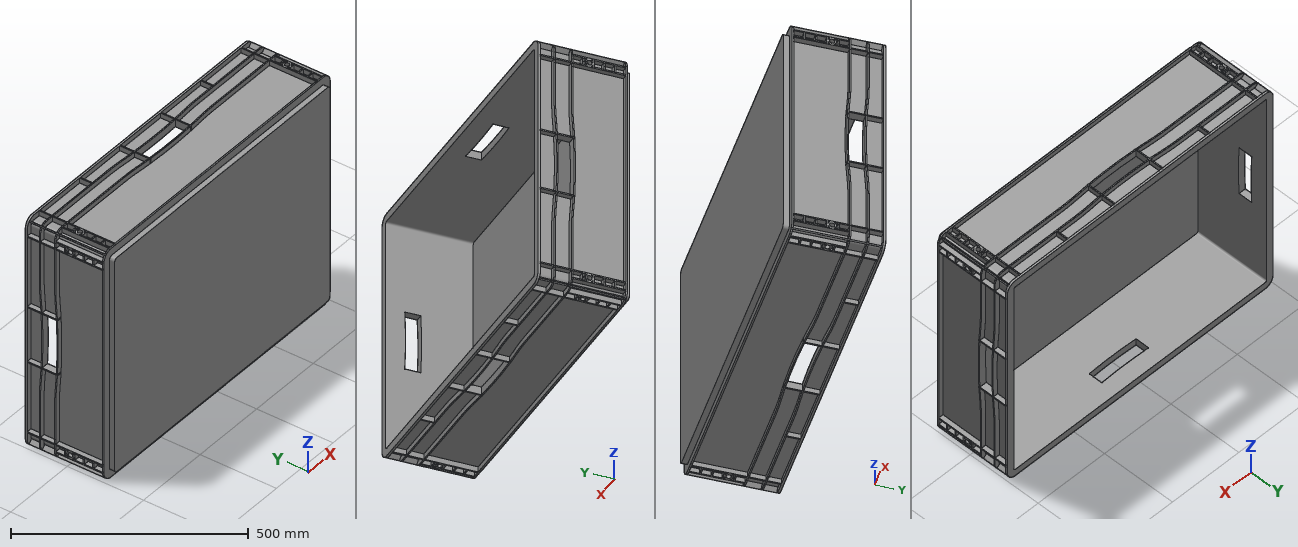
import cadquery as cq
import math


LENGTH = 800.0
WIDTH = 600.0
HEIGHT = 220.0
RIM_RADIUS = 24.0

FOOT_INSET = 19.0
FOOT_HEIGHT = 14.0
FOOT_RADIUS = 9.0
FLANGE_THICKNESS = 4.0
RIM_THICKNESS = 6.0
FLOOR_Y = FOOT_HEIGHT + FLANGE_THICKNESS
RIM_Y = HEIGHT - RIM_THICKNESS

WALL_RECESS = 13.0
WALL_INNER = 19.0
RIB_THICKNESS = 3.0
WALL_CORNER_RADIUS = RIM_RADIUS - WALL_RECESS
CAVITY_RADIUS = RIM_RADIUS - WALL_INNER
OVERLAP = 2.0

LOWER_RIB_Y = 142.0
UPPER_RIB_Y = 182.0
SAG = 6.0
SAG_START = 160.0
SAG_BEND = 107.0

HANDLE_RIB_POSITION = 72.0
HANDLE_HALF_WIDTH = HANDLE_RIB_POSITION - RIB_THICKNESS / 2
LONG_WALL_RIB_POSITION = 214.0

OUTER_RAIL = 24.0
INNER_RAIL = 43.0
LADDER_CENTRE = (OUTER_RAIL + INNER_RAIL) / 2
LADDER_WIDTH = INNER_RAIL - OUTER_RAIL
RUNG_FIRST_Y = 42.0
RUNG_PITCH = 25.0
RUNG_COUNT = 4
RING_Y = 102.0
RING_OUTER_RADIUS = 10.0
RING_INNER_RADIUS = 6.0


def rounded_slab(inset, radius, y_low, y_high):
    """Rounded rectangle, inset from the rim outline, between two Y levels."""
    return (
        cq.Workplane("XY")
        .box(LENGTH - 2 * inset, y_high - y_low, WIDTH - 2 * inset)
        .edges("|Y")
        .fillet(radius)
        .translate((0, (y_low + y_high) / 2, 0))
    )


def sag_outline(plane, half_length, low_y, high_y):
    """Closed outline between two equal sagging curves at different heights."""
    bend_drop = SAG * (SAG_START - SAG_BEND) / SAG_START
    shoulder_drop = bend_drop / 4
    shoulder = (SAG_START + SAG_BEND) / 2

    def curve(outline, y, side):
        return (
            outline.lineTo(side * SAG_START, y)
            .threePointArc((side * shoulder, y - shoulder_drop), (side * SAG_BEND, y - bend_drop))
            .threePointArc((0, y - SAG), (-side * SAG_BEND, y - bend_drop))
            .threePointArc((-side * shoulder, y - shoulder_drop), (-side * SAG_START, y))
            .lineTo(-side * half_length, y)
        )

    outline = curve(plane.moveTo(-half_length, low_y), low_y, -1)
    outline = curve(outline.lineTo(half_length, high_y), high_y, 1)
    return outline.close()


def wall_ribs(half_length, distance, upright_positions):
    """All ribs on the wall facing +Z at the given distance from the middle."""
    base = distance - WALL_RECESS - OVERLAP
    depth = WALL_RECESS + OVERLAP
    plane = cq.Workplane("XY", origin=(0, 0, base))

    def bar(u, y_low, y_high):
        return (
            plane.center(u, (y_low + y_high) / 2)
            .rect(RIB_THICKNESS, y_high - y_low)
            .extrude(depth)
        )

    ribs = cq.Workplane("XY")
    half = RIB_THICKNESS / 2
    for y in (LOWER_RIB_Y, UPPER_RIB_Y):
        ribs = ribs.add(sag_outline(plane, half_length, y - half, y + half).extrude(depth))

    for side in (-1, 1):
        ribs = ribs.add(bar(side * HANDLE_RIB_POSITION, LOWER_RIB_Y - SAG, RIM_Y))
        for u in upright_positions:
            ribs = ribs.add(bar(side * u, UPPER_RIB_Y, RIM_Y))
        ribs = ribs.add(bar(side * (half_length - OUTER_RAIL), FLOOR_Y, LOWER_RIB_Y))
        ribs = ribs.add(bar(side * (half_length - INNER_RAIL), FLOOR_Y, RIM_Y))

        ladder_u = side * (half_length - LADDER_CENTRE)
        for index in range(RUNG_COUNT):
            rung_y = RUNG_FIRST_Y + index * RUNG_PITCH
            ribs = ribs.add(plane.center(ladder_u, rung_y).rect(LADDER_WIDTH, RIB_THICKNESS).extrude(depth))
        ribs = ribs.add(
            plane.center(ladder_u, RING_Y)
            .circle(RING_OUTER_RADIUS)
            .circle(RING_INNER_RADIUS)
            .extrude(depth)
        )
    return ribs.combine()


def handle_opening(distance):
    """Cutter for the handle in the wall facing +Z, bounded by the two ribs."""
    plane = cq.Workplane("XY", origin=(0, 0, distance - WALL_INNER - OVERLAP))
    depth = WALL_INNER + OVERLAP
    low_y = LOWER_RIB_Y + RIB_THICKNESS / 2
    high_y = UPPER_RIB_Y - RIB_THICKNESS / 2
    band = sag_outline(plane, WIDTH / 2, low_y, high_y).extrude(depth)
    window = plane.center(0, HEIGHT / 2).rect(2 * HANDLE_HALF_WIDTH, HEIGHT).extrude(depth)
    return band.intersect(window)


def corner_fin(side_x, side_z):
    """Thin diagonal plate joining a rounded wall corner to the rim corner."""
    start = WALL_CORNER_RADIUS - OVERLAP
    reach = RIM_RADIUS - start
    direction = math.degrees(math.atan2(-side_z, side_x))
    return (
        cq.Workplane("XY")
        .box(reach, RIM_Y - FOOT_HEIGHT, RIB_THICKNESS)
        .translate((start + reach / 2, (RIM_Y + FOOT_HEIGHT) / 2, 0))
        .rotate((0, 0, 0), (0, 1, 0), direction)
        .translate((side_x * (LENGTH / 2 - RIM_RADIUS), 0, side_z * (WIDTH / 2 - RIM_RADIUS)))
    )


crate = rounded_slab(WALL_RECESS, WALL_CORNER_RADIUS, FOOT_HEIGHT, HEIGHT)
crate = crate.union(rounded_slab(0, RIM_RADIUS, FOOT_HEIGHT, FLOOR_Y))
crate = crate.union(rounded_slab(0, RIM_RADIUS, RIM_Y, HEIGHT))
for side_x in (-1, 1):
    for side_z in (-1, 1):
        crate = crate.union(corner_fin(side_x, side_z))

long_ribs = wall_ribs(LENGTH / 2, WIDTH / 2, (LONG_WALL_RIB_POSITION,))
short_ribs = wall_ribs(WIDTH / 2, LENGTH / 2, ())
long_handle = handle_opening(WIDTH / 2)
short_handle = handle_opening(LENGTH / 2)

envelope = rounded_slab(0, RIM_RADIUS, FOOT_HEIGHT, HEIGHT)
handles = []
for ribs, handle, angles in (
    (long_ribs, long_handle, (0, 180)),
    (short_ribs, short_handle, (90, 270)),
):
    for angle in angles:
        crate = crate.union(ribs.rotate((0, 0, 0), (0, 1, 0), angle).intersect(envelope))
        handles.append(handle.rotate((0, 0, 0), (0, 1, 0), angle))

crate = crate.cut(rounded_slab(WALL_INNER, CAVITY_RADIUS, FLOOR_Y, HEIGHT))
for handle in handles:
    crate = crate.cut(handle)
result = crate.union(rounded_slab(FOOT_INSET, FOOT_RADIUS, 0, FOOT_HEIGHT))